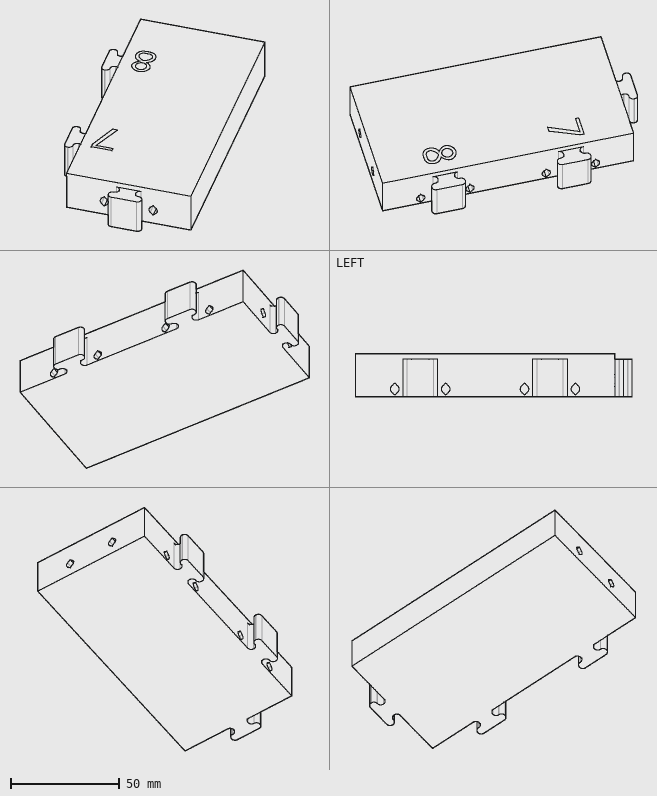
import cadquery as cq
import math

overall_length = 128.0

key_reach = overall_length / 16
head_thickness = key_reach / 2
head_half_width = key_reach
neck_half_width = key_reach / 2
key_fillet = 1.9
key_height = 17.4

block_length = overall_length - key_reach
block_width = block_length / 2
block_height = block_width / 3
row_offset = block_length / 4

hole_diameter = 4.0
hole_offset = 11.8
front_hole_level = 7.5
left_hole_level = 3.6
left_hole_depth = 15.4

digit_depth = 1.0
digit_inset = 10.2
digit_x = digit_inset - block_width / 2
digit_half_height = 7.7
digit_stroke = 1.5

eight_waist = (-1.7, -0.1)
upper_lobe_points = [(-4.2, 1.8), (-4.7, 4.1), (-3.7, 6.5)]
lower_lobe_points = [(-3.7, -2.0), (-4.4, -3.7), (-3.2, -6.3)]
upper_eye_points = [(-2.4, 2.3), (-3.2, 4.0), (-2.0, 5.9)]
upper_eye_tip = (0, 0.6)
lower_eye_radius = 2.5
lower_eye_level = -3.6

seven_half_width = 5.0
seven_tip_left = 0.8
seven_tip_right = 3.2
seven_corner_rise = 1.9
seven_inner_corner = 1.9


def make_key():
    """T-shaped key that reaches towards -X from a wall at X = 0."""
    head_back = head_thickness - key_reach
    return (
        cq.Workplane("XY")
        .lineTo(0, neck_half_width + key_fillet)
        .radiusArc((-key_fillet, neck_half_width), key_fillet)
        .lineTo(head_back + key_fillet, neck_half_width)
        .radiusArc((head_back, neck_half_width + key_fillet), key_fillet)
        .lineTo(head_back, head_half_width - key_fillet)
        .radiusArc((head_back - key_fillet, head_half_width), -key_fillet)
        .lineTo(key_fillet - key_reach, head_half_width)
        .radiusArc((-key_reach, head_half_width - key_fillet), -key_fillet)
        .lineTo(-key_reach, 0)
        .mirrorX()
        .extrude(key_height)
    )


def make_hole(depth):
    """Cutter along +X from X = 0: a bore joined with a square standing on its corner."""
    bore = cq.Workplane("YZ").circle(hole_diameter / 2).extrude(depth)
    peak = hole_diameter / 2 * math.sqrt(2)
    tangent = peak / 2
    peaks = (
        cq.Workplane("YZ")
        .polyline([(0, peak), (tangent, tangent), (tangent, -tangent),
                   (0, -peak), (-tangent, -tangent), (-tangent, tangent)])
        .close()
        .extrude(depth)
    )
    return bore.union(peaks)


def make_seven():
    """Seven turned upside down, as tall as the eight."""
    corner_x = -seven_half_width
    inner_x = corner_x + seven_inner_corner
    bar_top = digit_stroke - digit_half_height
    return (
        cq.Workplane("XY")
        .polyline([
            (corner_x, -digit_half_height),
            (seven_half_width, -digit_half_height),
            (seven_half_width, bar_top),
            (inner_x, bar_top),
            (seven_tip_right, digit_half_height),
            (seven_tip_left, digit_half_height),
            (corner_x, seven_corner_rise - digit_half_height),
        ])
        .close()
        .extrude(digit_depth)
    )


def symmetric_curve(left_points, middle):
    """Points from the left end through a middle on the Y axis to the mirrored right end."""
    right_points = [(-x, y) for x, y in reversed(left_points)]
    return [*left_points, middle, *right_points]


def make_eight():
    """Eight turned upside down: the larger loop is on the +Y side."""
    crown = (0, digit_half_height)
    foot = (0, -digit_half_height)
    upper_lobe = symmetric_curve([eight_waist, *upper_lobe_points], crown)
    lower_lobe = symmetric_curve([eight_waist, *lower_lobe_points], foot)
    outline = (
        cq.Workplane("XY")
        .spline(upper_lobe)
        .spline(list(reversed(lower_lobe)))
        .close()
        .extrude(digit_depth)
    )
    eye_crown = (0, digit_half_height - digit_stroke)
    upper_eye = (
        cq.Workplane("XY")
        .spline([upper_eye_tip, *symmetric_curve(upper_eye_points, eye_crown), upper_eye_tip])
        .close()
        .extrude(digit_depth)
    )
    lower_eye = cq.Workplane("XY").center(0, lower_eye_level).circle(lower_eye_radius).extrude(digit_depth)
    return outline.cut(upper_eye).cut(lower_eye)


left_wall = -block_width / 2
front_wall = -block_length / 2
digit_floor = block_height - digit_depth

eight = make_eight().translate((digit_x, row_offset, digit_floor))
seven = make_seven().translate((digit_x, -row_offset, digit_floor))

block = cq.Workplane("XY").box(block_width, block_length, block_height, centered=(True, True, False))
for row_y in (-row_offset, row_offset):
    block = block.union(make_key().translate((left_wall, row_y, 0)))
front_key = make_key().rotate((0, 0, 0), (0, 0, 1), 90)
block = block.union(front_key.translate((0, front_wall, 0)))

for side in (-hole_offset, hole_offset):
    for row_y in (-row_offset, row_offset):
        block = block.cut(make_hole(left_hole_depth).translate((left_wall, row_y + side, left_hole_level)))
    long_hole = make_hole(block_length).rotate((0, 0, 0), (0, 0, 1), 90)
    block = block.cut(long_hole.translate((side, front_wall, front_hole_level)))

block = block.cut(eight).cut(seven)

result = cq.Compound.makeCompound([block.val(), eight.val(), seven.val()])